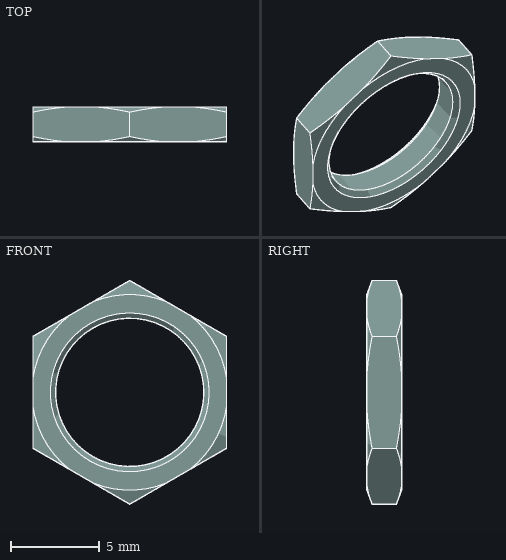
import cadquery as cq
import math

across_corners = 12.7
thickness = 2.0
bore_diameter = 8.4
bore_mouth_diameter = 9.0
face_diameter = 11.1
corner_chamfer_depth = 0.3

corner_radius = across_corners / 2
face_radius = face_diameter / 2
bore_radius = bore_diameter / 2
mouth_radius = bore_mouth_diameter / 2
mouth_depth = mouth_radius - bore_radius
half_thickness = thickness / 2


def hexagonal_prism():
    """Hexagon centred on the origin and extruded equally to both sides along Y."""
    corners = [
        (
            corner_radius * math.sin(math.radians(60 * i)),
            corner_radius * math.cos(math.radians(60 * i)),
        )
        for i in range(6)
    ]
    return cq.Workplane("XZ").polyline(corners).close().extrude(half_thickness, both=True)


def turned_envelope():
    """Ring with conical outer edges and a bore countersunk at both ends."""
    shoulder = half_thickness - corner_chamfer_depth
    bore_end = half_thickness - mouth_depth
    profile = [
        (mouth_radius, half_thickness),
        (face_radius, half_thickness),
        (corner_radius, shoulder),
        (corner_radius, -shoulder),
        (face_radius, -half_thickness),
        (mouth_radius, -half_thickness),
        (bore_radius, -bore_end),
        (bore_radius, bore_end),
    ]
    return cq.Workplane("XY").polyline(profile).close().revolve(360, (0, 0), (0, 1))


result = hexagonal_prism().intersect(turned_envelope())